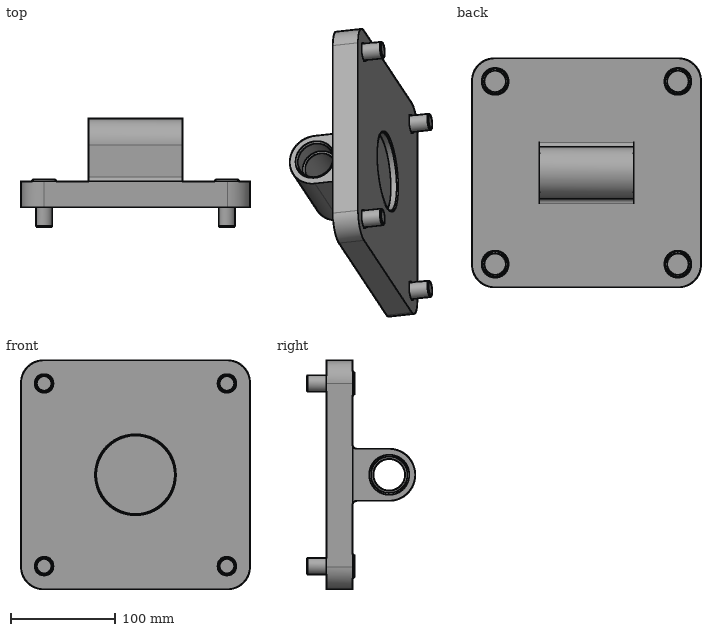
import cadquery as cq

plate_size = 219.5
plate_thickness = 25.0
corner_radius = 22.0

recess_diameter = 75.0
recess_depth = 7.0
recess_chamfer = 1.3

lug_length = 90.0
lug_radius = 25.0
lug_reach = 60.1
lug_fillet = 4.2
bore_diameter = 30.0
seat_diameter = 35.0
seat_depth = 20.0
seat_chamfer = 1.8
bore_y = plate_thickness + lug_reach - lug_radius

shank_diameter = 16.0
shank_projection = 18.9
tip_chamfer = 1.0
head_diameter = 24.0
head_height = shank_diameter
head_projection = 2.0
head_chamfer = 1.8
screw_spacing = 175.0
screw_offset = screw_spacing / 2
screw_places = [
    (x, z)
    for x in (-screw_offset, screw_offset)
    for z in (-screw_offset, screw_offset)
]

clearance_diameter = 18.0
counterbore_diameter = 26.0
head_seat_y = plate_thickness + head_projection - head_height


def cylinder_along_y(diameter, y_start, y_end, x=0.0, z=0.0):
    """Cylinder along +Y between two Y positions."""
    return cq.Workplane(cq.Solid.makeCylinder(
        diameter / 2, y_end - y_start, cq.Vector(x, y_start, z), cq.Vector(0, 1, 0)))


def make_plate_blank():
    return (
        cq.Workplane("XY")
        .box(plate_size, plate_thickness, plate_size, centered=(True, False, True))
        .edges("|Y")
        .fillet(corner_radius)
    )


def make_lug():
    """Round-ended lug whose root flares into the plate through small fillets."""
    root_half_height = lug_radius + lug_fillet
    flare_end_y = plate_thickness + lug_fillet
    return (
        cq.Workplane("YZ", origin=(-lug_length / 2, 0, 0))
        .moveTo(plate_thickness, -root_half_height)
        .radiusArc((flare_end_y, -lug_radius), lug_fillet)
        .lineTo(bore_y, -lug_radius)
        .threePointArc((bore_y + lug_radius, 0), (bore_y, lug_radius))
        .lineTo(flare_end_y, lug_radius)
        .radiusArc((plate_thickness, root_half_height), lug_fillet)
        .close()
        .extrude(lug_length)
    )


def make_bore_cutter():
    """Stepped cross bore: a wider chamfered seat at each end of the through hole."""
    half_length = lug_length / 2
    bore_radius = bore_diameter / 2
    seat_radius = seat_diameter / 2
    seat_floor = half_length - seat_depth
    chamfer_start = half_length - seat_chamfer
    mouth_radius = seat_radius + seat_chamfer
    half_profile = [
        (seat_floor, bore_radius),
        (seat_floor, seat_radius),
        (chamfer_start, seat_radius),
        (half_length, mouth_radius),
    ]
    mirrored_profile = [(-x, radius) for x, radius in reversed(half_profile)]
    return (
        cq.Workplane("XY")
        .polyline([(-half_length, 0)] + mirrored_profile + half_profile + [(half_length, 0)])
        .close()
        .revolve(360, (0, 0), (1, 0))
        .translate((0, bore_y, 0))
    )


def make_recess_cutter():
    """Round recess with a chamfered rim at the front face."""
    recess_radius = recess_diameter / 2
    rim_radius = recess_radius + recess_chamfer
    return (
        cq.Workplane("XY")
        .polyline([
            (0, 0),
            (rim_radius, 0),
            (recess_radius, recess_chamfer),
            (recess_radius, recess_depth),
            (0, recess_depth),
        ])
        .close()
        .revolve(360, (0, 0), (0, 1))
    )


def make_screw_hole_cutter(x, z):
    clearance = cylinder_along_y(clearance_diameter, 0, plate_thickness, x, z)
    counterbore = cylinder_along_y(counterbore_diameter, head_seat_y, plate_thickness, x, z)
    return clearance.union(counterbore)


def make_bracket():
    bracket = make_plate_blank().union(make_lug())
    bracket = bracket.cut(make_bore_cutter()).cut(make_recess_cutter())
    for x, z in screw_places:
        bracket = bracket.cut(make_screw_hole_cutter(x, z))
    return bracket


def make_screw(x, z):
    """Cap screw pointing to -Y, its head resting on the counterbore floor."""
    head_top_y = head_seat_y + head_height
    head = cylinder_along_y(head_diameter, head_seat_y, head_top_y, x, z)
    head = head.faces(">Y").chamfer(head_chamfer)
    shank = cylinder_along_y(shank_diameter, -shank_projection, head_seat_y, x, z)
    shank = shank.faces("<Y").chamfer(tip_chamfer)
    return head.union(shank)


bracket = make_bracket()
screws = [make_screw(x, z) for x, z in screw_places]

result = cq.Compound.makeCompound([bracket.val(), *[screw.val() for screw in screws]])